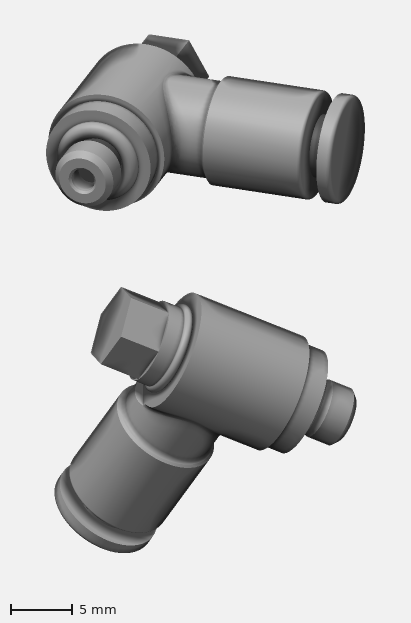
import cadquery as cq


barrel_radius = 5.0
barrel_length = 2 * barrel_radius
barrel_back = 3.52
barrel_front = barrel_back - barrel_length
stud_radius = 3.47

branch_radius = 4.01
junction_fillet = 0.5
shoulder_start = 7.0
shoulder_end = 7.65
shoulder_radius = 4.5
shoulder_chamfer = 0.17
shoulder_flare = 0.28
flare_sag_x = 0.28
flare_sag_radius = 0.07
socket_end = 16.0
socket_fillet = 0.25
dome_height = 0.17
sleeve_radius = 2.62
rim_start = 17.42
rim_fillet = 0.33
sleeve_step_length = 0.12
sleeve_step_height = 0.1
branch_end = 23.6 - barrel_radius

hex_back = 9.2
hex_front = 5.7
hex_corner_diameter = 2 * stud_radius
flange_radius = 4.5
flange_chamfer_length = 0.2
flange_chamfer_height = 0.1
flange_front = -8.5
seal_front = -9.2
seal_radius = 3.5
neck_radius = 1.98
neck_front = -9.5
thread_radius = 2.5
thread_chamfer = 0.5
tip = -12.48
tip_bore_radius = 1.0
tip_bore_chamfer = 0.2
tip_bore_depth = 1.89

ring_back = 4.32
ring_outer_radius = 3.85
ring_gap = 0.52


def cylinder_y(radius, start, end):
    """Cylinder on the Y axis between two Y positions."""
    return cq.Workplane("XZ", origin=(0, start, 0)).circle(radius).extrude(start - end)


def make_branch():
    """Branch, tube socket and release sleeve, turned about the X axis."""
    flare_end = shoulder_end - shoulder_chamfer
    flare_radius = branch_radius + shoulder_flare
    profile = (
        cq.Workplane("XY")
        .lineTo(0, branch_radius)
        .lineTo(shoulder_start, branch_radius)
        .threePointArc(
            (shoulder_start + flare_sag_x, branch_radius + flare_sag_radius), (flare_end, flare_radius)
        )
        .lineTo(shoulder_end, shoulder_radius)
        .lineTo(socket_end - socket_fillet, shoulder_radius)
        .radiusArc((socket_end, shoulder_radius - socket_fillet), socket_fillet)
        .lineTo(socket_end + dome_height, sleeve_radius)
        .lineTo(rim_start - sleeve_step_length, sleeve_radius)
        .lineTo(rim_start, sleeve_radius + sleeve_step_height)
        .lineTo(rim_start, shoulder_radius)
        .lineTo(branch_end - rim_fillet, shoulder_radius)
        .radiusArc((branch_end, shoulder_radius - rim_fillet), rim_fillet)
        .lineTo(branch_end, 0)
        .close()
    )
    return profile.revolve(360, (0, 0, 0), (1, 0, 0))


def make_elbow():
    junction_room = 2 * barrel_radius
    body = cylinder_y(barrel_radius, junction_room, barrel_front).union(make_branch())
    junction = cq.selectors.BoxSelector(
        (0, -shoulder_radius, -shoulder_radius),
        (barrel_radius + 0.24, shoulder_radius, shoulder_radius),
        boundingbox=True,
    )
    body = body.edges(junction).edges("not #Z").edges("not |X").fillet(junction_fillet)

    flare = branch_radius + junction_fillet - barrel_back
    trim = (
        cq.Workplane("XY")
        .moveTo(-barrel_radius, barrel_back)
        .lineTo(barrel_radius, barrel_back)
        .lineTo(barrel_radius + flare, barrel_back + flare)
        .lineTo(barrel_radius + flare, junction_room)
        .lineTo(-barrel_radius, junction_room)
        .close()
        .extrude(barrel_radius, both=True)
    )
    return body.cut(trim).cut(cylinder_y(stud_radius, barrel_back, barrel_front))


def make_snap_ring():
    thickness = ring_back - barrel_back
    rounding = thickness / 2
    ring = (
        cq.Workplane("XY")
        .moveTo(0, barrel_back)
        .lineTo(ring_outer_radius - rounding, barrel_back)
        .threePointArc(
            (ring_outer_radius, barrel_back + rounding), (ring_outer_radius - rounding, ring_back)
        )
        .lineTo(0, ring_back)
        .close()
        .revolve(360, (0, 0, 0), (0, 1, 0))
    )
    gap = cq.Workplane("XY").box(
        ring_gap, thickness, ring_outer_radius, centered=(True, False, False)
    )
    return ring.cut(gap.translate((0, barrel_back, 0)))


def make_bolt():
    seal_rounding = flange_front - seal_front
    tip_radius = thread_radius - thread_chamfer
    cone_front = neck_front - (thread_radius - neck_radius)
    shank = (
        cq.Workplane("XY")
        .moveTo(0, hex_front)
        .lineTo(stud_radius, hex_front)
        .lineTo(stud_radius, barrel_front)
        .lineTo(flange_radius - flange_chamfer_height, barrel_front)
        .lineTo(flange_radius, barrel_front - flange_chamfer_length)
        .lineTo(flange_radius, flange_front)
        .lineTo(seal_radius, flange_front)
        .threePointArc(
            (seal_radius - seal_rounding, seal_front), (seal_radius - 2 * seal_rounding, flange_front)
        )
        .lineTo(neck_radius, flange_front)
        .lineTo(neck_radius, neck_front)
        .lineTo(thread_radius, cone_front)
        .lineTo(thread_radius, tip + thread_chamfer)
        .lineTo(tip_radius, tip)
        .lineTo(0, tip)
        .close()
        .revolve(360, (0, 0, 0), (0, 1, 0))
    )
    hexagon = (
        cq.Workplane("XZ", origin=(0, hex_back, 0))
        .polygon(6, hex_corner_diameter)
        .extrude(hex_back - hex_front)
    )
    tip_bore = (
        cq.Workplane("XY")
        .moveTo(0, tip)
        .lineTo(tip_bore_radius + tip_bore_chamfer, tip)
        .lineTo(tip_bore_radius, tip + tip_bore_chamfer)
        .lineTo(tip_bore_radius, tip + tip_bore_depth)
        .lineTo(0, tip + tip_bore_depth)
        .close()
        .revolve(360, (0, 0, 0), (0, 1, 0))
    )
    return shank.union(hexagon).union(make_snap_ring()).cut(tip_bore)


elbow = make_elbow()
bolt = make_bolt()

result = cq.Compound.makeCompound([elbow.val(), bolt.val()])